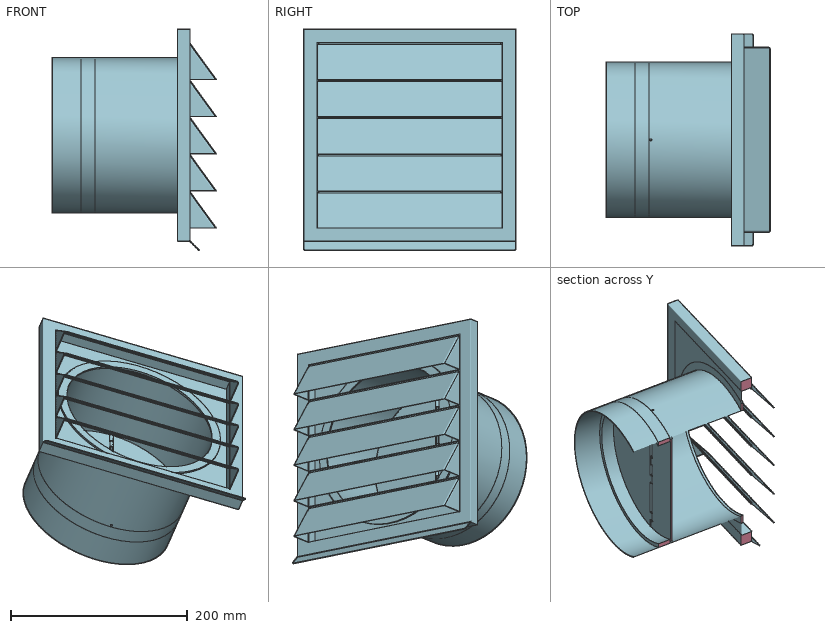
import cadquery as cq
import math


SHEET = 0.85
AXIAL_LENGTH = 186.0
TOTAL_HEIGHT = 250.5

DUCT_RADIUS = 88.2
DUCT_BORE = DUCT_RADIUS - SHEET
SEAT_RADIUS = 82.7
SEAT_START = 32.8
SEAT_LENGTH = 15.5
SEAT_END = SEAT_START + SEAT_LENGTH

FRAME_SIDE = 240.0
FRAME_BACK = 141.8
FRAME_DEPTH = 14.3
FRAME_FRONT = FRAME_BACK + FRAME_DEPTH
FRAME_ROUNDING = 0.8
OPENING_SIDE = 210.0
COLLAR_RADIUS = 97.5
COLLAR_DEPTH = 2.0

HOOD_COUNT = 5
HOOD_PITCH = OPENING_SIDE / HOOD_COUNT
HOOD_REACH = AXIAL_LENGTH - FRAME_FRONT
HOOD_HEIGHT = 41.0
HOOD_WALL = SHEET
HOOD_ROUNDING = 2.8

LIP_DROP = TOTAL_HEIGHT - FRAME_SIDE
LIP_CORNER = 2.5
LIP_ANGLE = 45

PIN_RADIUS = 1.13
KNUCKLE_RADIUS = 2.3
HINGE_X = SEAT_END + KNUCKLE_RADIUS
FLAP_RADIUS = 86.0
FLAP_THICKNESS = 3.0
INNER_KNUCKLE_START = 8.0
INNER_KNUCKLE_END = 19.0
OUTER_KNUCKLE_START = 62.5
OUTER_KNUCKLE_END = 73.7


def disc(radius, start, length):
    """Round bar on the duct axis."""
    return cq.Workplane("YZ", origin=(start, 0, 0)).circle(radius).extrude(length)


def tube(outer_radius, inner_radius, start, length):
    return disc(outer_radius, start, length).cut(disc(inner_radius, start, length))


def block(x_range, y_range, z_range):
    """Box between two limits on each axis."""
    size = [high - low for low, high in (x_range, y_range, z_range)]
    corner = (x_range[0], y_range[0], z_range[0])
    return cq.Workplane("XY").box(*size, centered=False).translate(corner)


def wedge(reach, height, width):
    """Triangular prism standing on Z = 0 against the frame front, centred on Y = 0."""
    return (
        cq.Workplane("XZ", origin=(FRAME_FRONT, 0, 0))
        .polyline([(0, 0), (reach, 0), (0, height)])
        .close()
        .extrude(width / 2, both=True)
    )


def make_hood():
    """Outside of one louvre hood, with its sloped side edges rounded."""
    hood = wedge(HOOD_REACH, HOOD_HEIGHT, OPENING_SIDE)
    slope_edges = cq.selectors.ParallelDirSelector(cq.Vector(HOOD_REACH, 0, -HOOD_HEIGHT))
    return hood.edges(slope_edges).fillet(HOOD_ROUNDING)


def make_hood_hollow():
    """Air space in one hood, open downward and through the front wall of the frame."""
    slope_length = math.hypot(HOOD_REACH, HOOD_HEIGHT)
    reach = HOOD_REACH - HOOD_WALL * slope_length / HOOD_HEIGHT
    height = HOOD_HEIGHT - HOOD_WALL * slope_length / HOOD_REACH
    half_width = OPENING_SIDE / 2 - HOOD_WALL
    window = block((FRAME_FRONT - SHEET, FRAME_FRONT), (-half_width, half_width), (0, height))
    return wedge(reach, height, 2 * half_width).union(window)


def make_frame():
    """Square frame, hollow behind the hoods, with a collar round the duct mouth."""
    half_side = FRAME_SIDE / 2
    half_opening = OPENING_SIDE / 2
    frame = block((FRAME_BACK, FRAME_FRONT), (-half_side, half_side), (-half_side, half_side))
    frame = frame.faces("<X or >X").edges().fillet(FRAME_ROUNDING)
    cavity = block(
        (FRAME_BACK + SHEET, FRAME_FRONT - SHEET),
        (-half_opening, half_opening),
        (-half_opening, half_opening),
    )
    collar = disc(COLLAR_RADIUS, FRAME_BACK + SHEET, COLLAR_DEPTH)
    return frame.cut(cavity.cut(collar))


def make_lip():
    """Thin drip lip running out from the lower front corner of the frame."""
    root_x = FRAME_FRONT - FRAME_ROUNDING
    root_z = FRAME_ROUNDING - FRAME_SIDE / 2
    tilt = math.radians(LIP_ANGLE)
    length = (FRAME_ROUNDING + LIP_DROP - SHEET / 2 * math.cos(tilt)) / math.sin(tilt)
    flat_lip = (
        cq.Workplane("XY")
        .box(length, FRAME_SIDE, SHEET, centered=(False, True, True))
        .edges("|Z and >X")
        .fillet(LIP_CORNER)
    )
    return flat_lip.rotate((0, 0, 0), (0, 1, 0), LIP_ANGLE).translate((root_x, 0, root_z))


def make_housing():
    """Duct, seat ring, frame, louvre hoods and drip lip in one piece."""
    housing = make_frame().union(make_lip())
    housing = housing.union(disc(DUCT_RADIUS, 0, FRAME_BACK))
    housing = housing.cut(disc(DUCT_BORE, 0, FRAME_BACK + SHEET + COLLAR_DEPTH))
    housing = housing.union(tube(DUCT_RADIUS, SEAT_RADIUS, SEAT_START, SEAT_LENGTH))
    hood = make_hood()
    hollow = make_hood_hollow()
    for index in range(HOOD_COUNT):
        base = (0, 0, index * HOOD_PITCH - OPENING_SIDE / 2)
        housing = housing.union(hood.translate(base)).cut(hollow.translate(base))
    return housing


def hinge_bar(radius, low, high):
    """Vertical round bar on the hinge axis."""
    return cq.Workplane("XY", origin=(HINGE_X, 0, low)).circle(radius).extrude(high - low)


def make_pin():
    """Hinge pin spanning the duct bore, its ends shaped to the bore."""
    pin = hinge_bar(PIN_RADIUS, -DUCT_RADIUS, DUCT_RADIUS)
    return pin.intersect(disc(DUCT_BORE, 0, FRAME_BACK))


def make_flap():
    """Half-round damper flap on the -Y side, with the knuckles that turn on the pin."""
    plate = disc(FLAP_RADIUS, SEAT_END, FLAP_THICKNESS)
    plate_x = (SEAT_END, SEAT_END + FLAP_THICKNESS)
    all_z = (-FLAP_RADIUS, FLAP_RADIUS)
    flap = plate.cut(block(plate_x, (-KNUCKLE_RADIUS, FLAP_RADIUS), all_z))

    rim = disc(FLAP_RADIUS, SEAT_END, 2 * KNUCKLE_RADIUS)
    knuckle_spans = (
        (-FLAP_RADIUS, -OUTER_KNUCKLE_END),
        (INNER_KNUCKLE_START, INNER_KNUCKLE_END),
        (OUTER_KNUCKLE_START, OUTER_KNUCKLE_END),
    )
    for low, high in knuckle_spans:
        knuckle = hinge_bar(KNUCKLE_RADIUS, low, high)
        web = block(plate_x, (-2 * KNUCKLE_RADIUS, 0), (low, high))
        flap = flap.union(knuckle.union(web).intersect(rim))
    return flap.cut(hinge_bar(PIN_RADIUS, *all_z))


housing = make_housing()
pin = make_pin()
flaps = [make_flap().rotate((0, 0, 0), (1, 0, 0), turn) for turn in (0, 180)]

result = cq.Compound.makeCompound([
    housing.val(),
    pin.val(),
    *[flap.val() for flap in flaps],
])